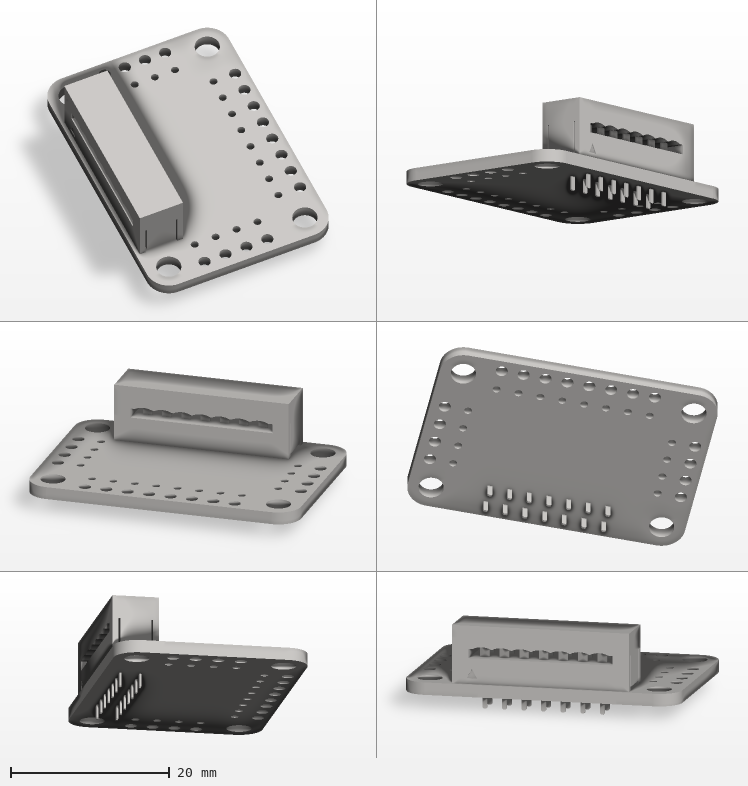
import cadquery as cq

board_length = 35.77
board_width = 24.85
board_thickness = 1.6
corner_radius = 3.0
mount_hole_diameter = 3.2

large_hole_diameter = 1.55
small_hole_diameter = 1.0
row_gap = 3.0
back_inset = 1.57
left_inset = 1.68
right_inset = 1.85
back_hole_count = 8
back_hole_pitch = 2.83
back_row_center = 0.35
side_hole_count = 4
left_hole_pitch = 2.8
left_row_center = 0.0
right_hole_pitch = 2.9
right_row_center = -0.65

connector_length = 23.05
connector_depth = 5.97
connector_x = 0.07
connector_y = -8.95
base_height = 4.5
cap_height = 2.97
base_bottom = board_thickness
base_top = base_bottom + base_height
connector_front = connector_y - connector_depth / 2

slot_length = 18.7
slot_depth = 1.2
slot_floor = base_top - slot_depth

recess_depth = 1.07
side_wall = 0.8
recess_width = connector_depth - 2 * side_wall
leg_side_gap = 0.2
leg_width = recess_width - 2 * leg_side_gap
leg_clearance = 0.45
leg_height = base_height - leg_clearance

mark_width = 1.32
mark_height = 1.2
mark_sink = 0.1
mark_end_distance = 2.6
mark_lift = 0.7

contact_count = 7
contact_pitch = 2.55
contact_rows = 2
contact_thickness = 0.25
blade_width = 1.2
pin_width = 0.6
pin_length = 1.82
pin_tip_chamfer = 0.15

groove_width = 2.35
groove_rise = 0.27


def spaced(count, pitch, center):
    """Positions of evenly pitched items about a centre."""
    return [center + (i - (count - 1) / 2) * pitch for i in range(count)]


def block(length, depth, height, x, y, bottom):
    """Box centred at x, y with its underside at bottom."""
    return cq.Workplane("XY").box(length, depth, height, (True, True, False)).translate((x, y, bottom))


contact_xs = spaced(contact_count, contact_pitch, connector_x)
contact_ys = spaced(contact_rows, contact_pitch, connector_y)
contact_places = [(x, y) for x in contact_xs for y in contact_ys]


def end_blocks(width, height, bottom):
    """Matching blocks at the two ends of the connector, flush with its end faces."""
    offset = (connector_length - recess_depth) / 2
    left = block(recess_depth, width, height, connector_x - offset, connector_y, bottom)
    right = block(recess_depth, width, height, connector_x + offset, connector_y, bottom)
    return left.add(right).combine()


def drill(body, points, diameter):
    """Through holes in the board at the given points."""
    holes = cq.Workplane("XY").pushPoints(points).circle(diameter / 2).extrude(board_thickness)
    return body.cut(holes)


def make_board():
    body = block(board_length, board_width, board_thickness, 0, 0, 0)
    body = body.edges("|Z").fillet(corner_radius)

    mount_x = board_length / 2 - corner_radius
    mount_y = board_width / 2 - corner_radius
    mounts = [(x, y) for x in (-mount_x, mount_x) for y in (-mount_y, mount_y)]
    body = drill(body, mounts, mount_hole_diameter)

    back_xs = spaced(back_hole_count, back_hole_pitch, back_row_center)
    left_ys = spaced(side_hole_count, left_hole_pitch, left_row_center)
    right_ys = spaced(side_hole_count, right_hole_pitch, right_row_center)
    for distance_in, diameter in ((0, large_hole_diameter), (row_gap, small_hole_diameter)):
        back_y = board_width / 2 - back_inset - distance_in
        left_x = -board_length / 2 + left_inset + distance_in
        right_x = board_length / 2 - right_inset - distance_in
        points = [(x, back_y) for x in back_xs]
        points += [(left_x, y) for y in left_ys]
        points += [(right_x, y) for y in right_ys]
        body = drill(body, points, diameter)

    for x, y in contact_places:
        body = body.cut(block(pin_width, contact_thickness, board_thickness, x, y, 0))
    return body


def make_groove(x):
    """Arched groove through the cap, running along Y."""
    half = groove_width / 2
    return (
        cq.Workplane("XZ", origin=(x, connector_y, base_top))
        .moveTo(-half, 0)
        .threePointArc((0, groove_rise), (half, 0))
        .close()
        .extrude(connector_depth / 2, both=True)
    )


def make_cap():
    body = block(connector_length, connector_depth, cap_height, connector_x, connector_y, base_top)
    for x in contact_xs:
        body = body.cut(make_groove(x))
    return body.union(end_blocks(leg_width, leg_height, base_bottom + leg_clearance))


def make_contact(x, y):
    """Blade rising from the slot floor to the groove crown, and the pin below the base."""
    blade = block(blade_width, contact_thickness, slot_depth + groove_rise, x, y, slot_floor)
    pin = block(pin_width, contact_thickness, base_bottom + pin_length, x, y, -pin_length)
    pin = pin.faces("<Z").edges("|Y").chamfer(pin_tip_chamfer)
    return blade, pin


def make_mark():
    """Triangle sunk into the front face of the base."""
    left = connector_x - connector_length / 2 + mark_end_distance - mark_width / 2
    bottom = base_bottom + mark_lift
    return (
        cq.Workplane("XZ", origin=(left, connector_front, bottom))
        .polyline([(0, 0), (mark_width, 0), (mark_width / 2, mark_height)])
        .close()
        .extrude(-mark_sink)
    )


def make_base(cap):
    body = block(connector_length, connector_depth, base_height, connector_x, connector_y, base_bottom)
    body = body.cut(block(slot_length, connector_depth, slot_depth, connector_x, connector_y, slot_floor))
    body = body.cut(end_blocks(recess_width, base_height, base_bottom))
    body = body.cut(make_mark())
    for x, y in contact_places:
        blade, pin = make_contact(x, y)
        body = body.union(blade.cut(cap)).union(pin)
    return body


board = make_board()
cap = make_cap()
base = make_base(cap)

result = cq.Compound.makeCompound([board.solids().val(), base.solids().val(), cap.solids().val()])